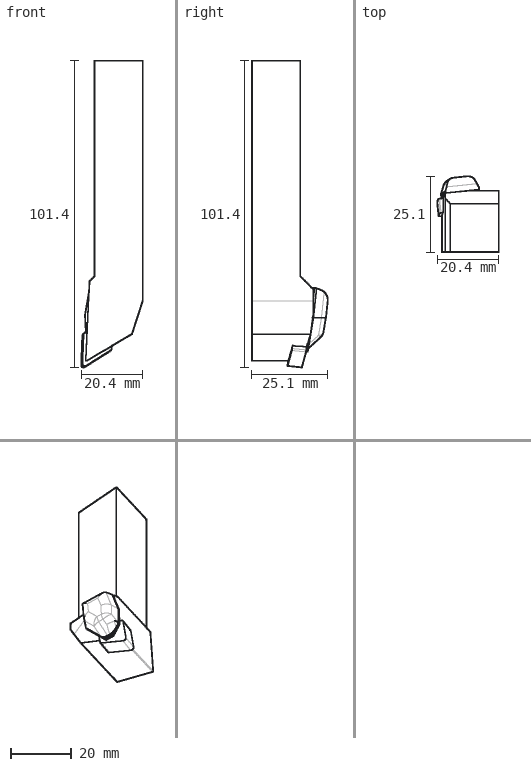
import cadquery as cq
import math

SHANK_SIDE = 16.0
TOP_Z = 101.4

STEP_Z = 30.1
SIDE_STEP = 1.6
BACK_STEP = 4.3
HEAD_CORNER_X = -2.8
HEAD_CORNER_Z = 2.0
HEAD_CORNER_RADIUS = 0.2
HEEL_X = 12.5
HEEL_Z = 11.0
RELIEF_Z = 22.0
HEAD_BACK_Y = SHANK_SIDE + BACK_STEP

NOSE_ANGLE = 55.0
LEAD_ANGLE = 3.0
INSERT_EDGE = 11.7
INSERT_THICKNESS = 4.8
NOSE_RADIUS = 0.8
CUTTING_CORNER = (-4.5, 16.3, -0.7)
TILT_X = -6.0
TILT_Z = 6.0

CLAMP_NOSE = 6.1
CLAMP_END = 27.3
CLAMP_PAST_END = 32.4
CLAMP_OUTLINE = [
    (4.3, CLAMP_PAST_END),
    (1.6, 18.2),
    (1.9, 10.6),
    (4.7, CLAMP_NOSE),
    (7.6, CLAMP_NOSE),
    (14.3, 17.2),
    (14.5, CLAMP_PAST_END),
]
CLAMP_FOOT = 0.7
CLAMP_HEIGHT = 5.3
SIDE_LEAN = 22.0
END_LEAN = 13.0
NOSE_LEAN = 49.0
TOP_RADIUS = 3.0
END_RADIUS = 4.1

SPACE = 60.8
EDGE_GAP = 0.1


def tilted(body):
    """Move a body from the seat frame, with the cutting corner at the origin, into place."""
    turned = body.rotate((0, 0, 0), (1, 0, 0), TILT_X).rotate((0, 0, 0), (0, 0, 1), TILT_Z)
    return turned.translate(CUTTING_CORNER)


def along(angle, length):
    """Point at a distance from the cutting corner, at an angle from straight up."""
    return (length * math.sin(math.radians(angle)), length * math.cos(math.radians(angle)))


def make_insert():
    side = along(LEAD_ANGLE, INSERT_EDGE)
    end = along(LEAD_ANGLE + NOSE_ANGLE, INSERT_EDGE)
    far = (side[0] + end[0], side[1] + end[1])
    plate = cq.Workplane("XZ").polyline([(0, 0), side, far, end]).close().extrude(INSERT_THICKNESS)
    return tilted(plate.edges("|Y").fillet(NOSE_RADIUS))


def make_shank():
    return (
        cq.Workplane("XY", origin=(0, 0, STEP_Z)).rect(SHANK_SIDE, SHANK_SIDE, centered=False)
        .extrude(TOP_Z - STEP_Z)
    )


def make_head():
    outline = [
        (0, STEP_Z),
        (-SIDE_STEP, STEP_Z - SIDE_STEP),
        (HEAD_CORNER_X, HEAD_CORNER_Z),
        (HEEL_X, HEEL_Z),
        (SHANK_SIDE, RELIEF_Z),
        (SHANK_SIDE, STEP_Z),
    ]
    block = cq.Workplane("XZ").polyline(outline).close().extrude(-HEAD_BACK_Y)
    block = block.edges("|Y and <Z").fillet(HEAD_CORNER_RADIUS)
    slope = (
        cq.Workplane("YZ")
        .polyline([(SHANK_SIDE, STEP_Z), (HEAD_BACK_Y, STEP_Z), (HEAD_BACK_Y, STEP_Z - BACK_STEP)])
        .close().extrude(SPACE, both=True)
    )
    above_seat = tilted(cq.Workplane("XY").box(SPACE, SPACE, SPACE, centered=(True, False, True)))
    return block.cut(slope).cut(above_seat)


def leaning_in(angle):
    """How far a clamp face at an angle from the seat normal leans in over the clamp's height."""
    return CLAMP_HEIGHT * math.tan(math.radians(angle))


def make_clamp_top():
    """The leaning block above the foot, with its nose slope and rounded top edges."""
    block = (
        cq.Workplane("XZ", origin=(0, CLAMP_FOOT, 0)).polyline(CLAMP_OUTLINE).close()
        .extrude(CLAMP_FOOT - CLAMP_HEIGHT, taper=SIDE_LEAN)
    )
    nose_top = CLAMP_NOSE + leaning_in(NOSE_LEAN)
    nose_slope = (
        cq.Workplane("YZ")
        .polyline([(0, 0), (0, CLAMP_NOSE), (CLAMP_HEIGHT, nose_top), (CLAMP_HEIGHT, 0)])
        .close().extrude(SPACE, both=True)
    )
    block = block.cut(nose_slope)
    facing_nose = cq.selectors.DirectionMinMaxSelector(cq.Vector(0, 1, -1))
    above_foot = cq.selectors.BoxSelector(
        (-SPACE, CLAMP_FOOT + EDGE_GAP, -SPACE), (SPACE, SPACE, SPACE)
    )
    top_edges = block.faces(">Y").edges().add(block.faces(facing_nose).edges())
    return top_edges.edges(above_foot).fillet(TOP_RADIUS)


def make_clamp():
    foot = cq.Workplane("XZ").polyline(CLAMP_OUTLINE).close().extrude(-CLAMP_FOOT)
    end_top = CLAMP_END - leaning_in(END_LEAN)
    profile = (
        cq.Workplane("YZ")
        .polyline([(0, 0), (0, CLAMP_END), (CLAMP_HEIGHT, end_top), (CLAMP_HEIGHT, 0)])
        .close().extrude(SPACE)
    )
    end_edge = cq.selectors.NearestToPointSelector((SPACE / 2, CLAMP_HEIGHT, end_top))
    profile = profile.edges(end_edge).fillet(END_RADIUS)
    return tilted(make_clamp_top().union(foot).intersect(profile))


insert = make_insert()

holder = make_shank().union(make_head()).union(make_clamp()).cut(insert)

result = cq.Compound.makeCompound([holder.val(), insert.val()])